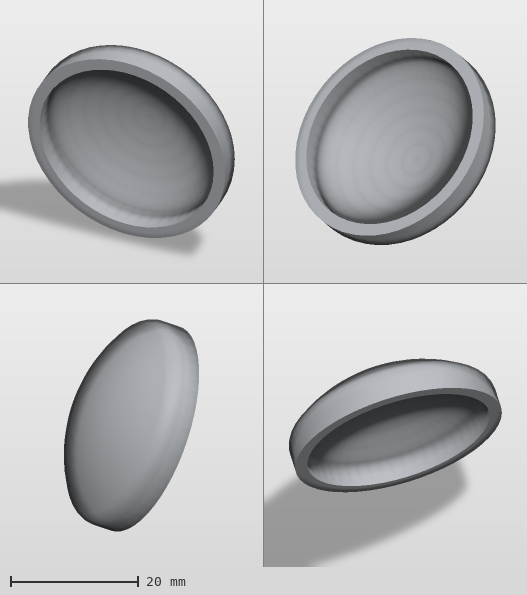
import cadquery as cq
import math

outer_radius = 16.85
height = 11.0
wall = 2.0
dome_radius = 25.0
shoulder_radius = 3.0

dome_center_y = height - dome_radius
shoulder_center_x = outer_radius - shoulder_radius
center_distance = dome_radius - shoulder_radius
shoulder_center_y = dome_center_y + math.sqrt(center_distance**2 - shoulder_center_x**2)
dome_half_angle = math.asin(shoulder_center_x / center_distance)


def on_dome(inset, angle):
    """Point on the dome, moved inward by inset, at an angle from the Y axis."""
    radius = dome_radius - inset
    return radius * math.sin(angle), dome_center_y + radius * math.cos(angle)


def on_shoulder(inset, angle):
    """Point on the shoulder arc, moved inward by inset, at an angle from the Y axis."""
    radius = shoulder_radius - inset
    x = shoulder_center_x + radius * math.sin(angle)
    y = shoulder_center_y + radius * math.cos(angle)
    return x, y


def solid_cap(inset):
    """Solid of revolution bounded by the outer surface moved inward by inset."""
    shoulder_mid_angle = (dome_half_angle + math.pi / 2) / 2
    profile = (
        cq.Workplane("XY")
        .lineTo(outer_radius - inset, 0)
        .lineTo(outer_radius - inset, shoulder_center_y)
        .threePointArc(on_shoulder(inset, shoulder_mid_angle), on_dome(inset, dome_half_angle))
        .threePointArc(on_dome(inset, dome_half_angle / 2), on_dome(inset, 0))
        .close()
    )
    return profile.revolve(360, (0, 0, 0), (0, 1, 0))


result = solid_cap(0).cut(solid_cap(wall))